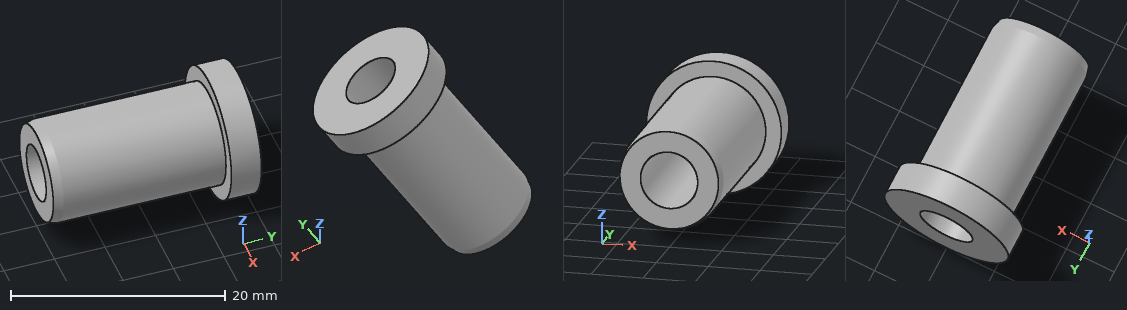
import cadquery as cq
import math

total_length = 20.0
head_diameter = 13.0
head_thickness = 3.0
body_diameter = 10.0
bore_diameter = 5.5

taper_length = 0.95
taper_angle = 15.0

head_radius = head_diameter / 2
body_radius = body_diameter / 2
bore_radius = bore_diameter / 2
tip_radius = body_radius - taper_length * math.tan(math.radians(taper_angle))
shoulder_y = total_length - head_thickness

half_section = [
    (bore_radius, 0),
    (tip_radius, 0),
    (body_radius, taper_length),
    (body_radius, shoulder_y),
    (head_radius, shoulder_y),
    (head_radius, total_length),
    (bore_radius, total_length),
]

result = (
    cq.Workplane("XY")
    .polyline(half_section)
    .close()
    .revolve(360, (0, 0, 0), (0, 1, 0))
)